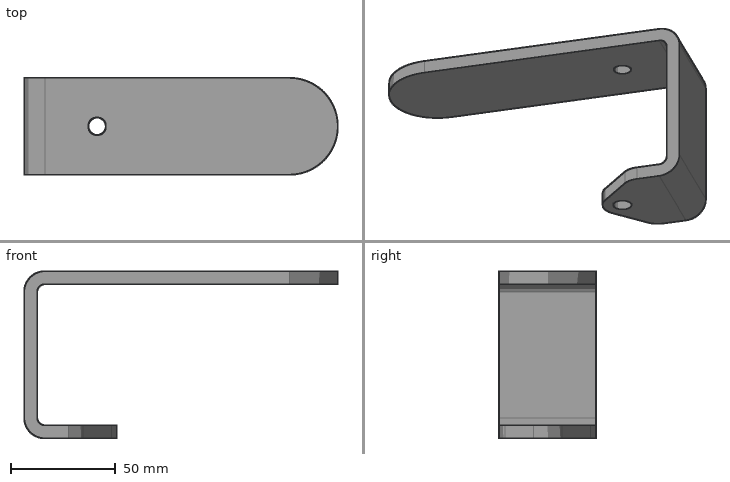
import cadquery as cq
import math

length = 150.04
width = 46.45
height = 80.01
thickness = 6.35
bend_outer_radius = 10.0
bend_inner_radius = bend_outer_radius - thickness

tab_length = 44.45
tab_tip_radius = 9.525
tab_shoulder_radius = 9.525
taper_angle = math.radians(45)

hole_x = tab_length - tab_tip_radius
arm_hole_diameter = 8.21
tab_hole_diameter = 8.74


def bent_strip():
    """C-shaped profile with round bends, extruded across the full width."""
    middle_z = height / 2
    envelope = cq.Workplane("XY").box(length, width, height, centered=(False, True, False))
    envelope = envelope.edges("|Y and <X").fillet(bend_outer_radius)
    opening = (
        cq.Workplane("XY")
        .box(length, width, height - 2 * thickness, centered=(False, True, True))
        .translate((thickness, 0, middle_z))
        .edges("|Y and <X")
        .fillet(bend_inner_radius)
    )
    return envelope.cut(opening)


def arm_outline():
    """Plan shape of the wall and arm: a rectangle with a full-round end."""
    half_width = width / 2
    round_start = length - half_width
    return (
        cq.Workplane("XY")
        .moveTo(0, -half_width)
        .lineTo(round_start, -half_width)
        .threePointArc((length, 0), (round_start, half_width))
        .lineTo(0, half_width)
        .close()
    )


def tab_outline():
    """Plan shape of the tab: shoulder arcs, tapered sides and a tip arc."""
    half_width = width / 2
    half_angle = taper_angle / 2

    tip_tangent_x = hole_x + tab_tip_radius * math.sin(taper_angle)
    tip_tangent_y = tab_tip_radius * math.cos(taper_angle)

    corner_x = tip_tangent_x - (half_width - tip_tangent_y) / math.tan(taper_angle)
    shoulder_start_x = corner_x - tab_shoulder_radius * math.tan(half_angle)
    shoulder_center_y = half_width - tab_shoulder_radius
    shoulder_mid_x = shoulder_start_x + tab_shoulder_radius * math.sin(half_angle)
    shoulder_mid_y = shoulder_center_y + tab_shoulder_radius * math.cos(half_angle)
    shoulder_end_x = shoulder_start_x + tab_shoulder_radius * math.sin(taper_angle)
    shoulder_end_y = shoulder_center_y + tab_shoulder_radius * math.cos(taper_angle)

    return (
        cq.Workplane("XY")
        .moveTo(0, -half_width)
        .lineTo(shoulder_start_x, -half_width)
        .threePointArc((shoulder_mid_x, -shoulder_mid_y), (shoulder_end_x, -shoulder_end_y))
        .lineTo(tip_tangent_x, -tip_tangent_y)
        .threePointArc((tab_length, 0), (tip_tangent_x, tip_tangent_y))
        .lineTo(shoulder_end_x, shoulder_end_y)
        .threePointArc((shoulder_mid_x, shoulder_mid_y), (shoulder_start_x, half_width))
        .lineTo(0, half_width)
        .close()
    )


def trim_ends(strip):
    """Keep the arm outline above mid-height and the tab outline below it."""
    middle_z = height / 2
    lower = tab_outline().extrude(middle_z)
    upper = arm_outline().extrude(middle_z).translate((0, 0, middle_z))
    return strip.intersect(lower.union(upper))


def vertical_hole(diameter, floor_z):
    """Cutter for a hole through one sheet thickness above floor_z."""
    cutter = cq.Workplane("XY").center(hole_x, 0).circle(diameter / 2).extrude(thickness)
    return cutter.translate((0, 0, floor_z))


result = trim_ends(bent_strip())
result = result.cut(vertical_hole(tab_hole_diameter, 0))
result = result.cut(vertical_hole(arm_hole_diameter, height - thickness))
result = result.clean()